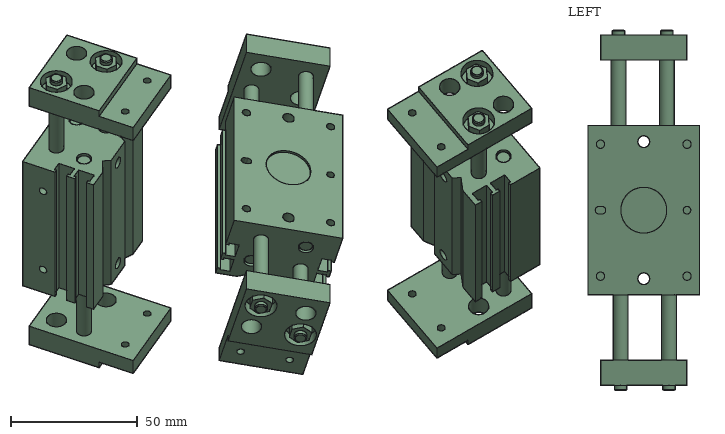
import cadquery as cq

total_length = 142.0

housing_depth = 31.1
housing_width = 44.0
housing_length = 66.7

slot_mouth_starts = (14.2, 22.9)
slot_mouth_width = 5.1
slot_lip_overhang = 0.9
slot_lip_thickness = 1.3
slot_depth = 5.3

groove_depth = 3.0
groove_inner_y = 6.1
groove_bottom_y = 8.0
groove_outer_y = 13.5

mount_hole_diameter = 4.5
mount_hole_z = 27.0
tapped_hole_diameter = 3.3
tapped_hole_y = 17.0
tapped_hole_z = 26.0
dowel_hole_diameter = 3.0
dowel_slot_length = 4.1
blind_hole_depth = 6.0
round_recess_diameter = 18.0
round_recess_depth = 1.0

port_diameter = 3.3
port_x = 9.0
port_z = 21.0

plate_back_x = 0.4
plate_front_x = 46.0
plate_width = 34.0
plate_thickness = 10.0
step_depth = 3.0
plate_hole_diameter = 3.0
plate_hole_x = 39.0
plate_hole_y = 10.0
clearance_diameter = 8.0
nut_bore_diameter = 12.5
nut_bore_depth = 5.0

rod_diameter = 6.0
rod_chamfer = 0.4
rod_end_gap = 0.9
stud_diameter = 5.0
stud_height = 2.0
stud_chamfer = 0.4
nut_across_corners = 9.2
rod_near_x = 8.5
rod_far_x = 21.0
rod_near_y = -9.1
rod_far_y = 10.0

half_width = housing_width / 2
half_length = housing_length / 2
plate_top_z = total_length / 2 - stud_height
plate_bottom_z = plate_top_z - plate_thickness
bore_floor_z = plate_top_z - nut_bore_depth
rod_end_z = rod_end_gap - half_length
upper_rod_places = [(rod_near_x, rod_near_y), (rod_far_x, rod_far_y)]
lower_rod_places = [(x, -y) for x, y in upper_rod_places]


def box(x_range, y_range, z_range):
    """Box between the given limits along each axis."""
    sizes = [high - low for low, high in (x_range, y_range, z_range)]
    corner = (x_range[0], y_range[0], z_range[0])
    return cq.Workplane("XY").box(*sizes, centered=False).translate(corner)


def cylinders_z(places, diameter, z_low, z_high):
    """Cylinders along Z at the given (x, y) places."""
    plane = cq.Workplane("XY").workplane(offset=z_low)
    return plane.pushPoints(places).circle(diameter / 2).extrude(z_high - z_low)


def cylinders_x(places, diameter, depth):
    """Cylinders along +X at the given (y, z) places, starting at the mounting face."""
    return cq.Workplane("YZ").pushPoints(places).circle(diameter / 2).extrude(depth)


def t_slot(mouth_start, side):
    """T-slot cutter in the side face at Y = side * half_width."""
    mouth_end = mouth_start + slot_mouth_width
    lip_y = half_width - slot_lip_thickness
    floor_y = half_width - slot_depth
    outline = [
        (mouth_start, half_width),
        (mouth_start, lip_y),
        (mouth_start - slot_lip_overhang, lip_y),
        (mouth_start - slot_lip_overhang, floor_y),
        (mouth_end + slot_lip_overhang, floor_y),
        (mouth_end + slot_lip_overhang, lip_y),
        (mouth_end, lip_y),
        (mouth_end, half_width),
    ]
    points = [(x, side * y) for x, y in outline]
    return cq.Workplane("XY").polyline(points).close().extrude(half_length, both=True)


def front_groove(side):
    """V-shaped groove cutter in the +X face, on the given Y side."""
    points = [
        (housing_depth, side * groove_inner_y),
        (housing_depth - groove_depth, side * groove_bottom_y),
        (housing_depth, side * groove_outer_y),
    ]
    return cq.Workplane("XY").polyline(points).close().extrude(half_length, both=True)


def mounting_face_holes():
    """Cutter for the holes and the shallow round recess in the mounting face."""
    mount_places = [(0, z) for z in (-mount_hole_z, mount_hole_z)]
    tapped_places = [
        (y, z) for y in (-tapped_hole_y, tapped_hole_y) for z in (-tapped_hole_z, tapped_hole_z)
    ]
    dowel_slot = (
        cq.Workplane("YZ")
        .center(tapped_hole_y, 0)
        .slot2D(dowel_slot_length, dowel_hole_diameter)
        .extrude(blind_hole_depth)
    )
    return (
        cylinders_x(mount_places, mount_hole_diameter, housing_depth)
        .add(cylinders_x(tapped_places, tapped_hole_diameter, blind_hole_depth))
        .add(cylinders_x([(-tapped_hole_y, 0)], dowel_hole_diameter, blind_hole_depth))
        .add(cylinders_x([(0, 0)], round_recess_diameter, round_recess_depth))
        .add(dowel_slot)
    )


def side_ports():
    """Cutter for the two blind ports in the -Y face."""
    plane = cq.Workplane("XZ", origin=(0, -half_width, 0))
    ports = plane.pushPoints([(port_x, -port_z), (port_x, port_z)]).circle(port_diameter / 2)
    return ports.extrude(-blind_hole_depth)


def make_housing():
    body = box((0, housing_depth), (-half_width, half_width), (-half_length, half_length))
    for side in (-1, 1):
        body = body.cut(front_groove(side))
        for mouth_start in slot_mouth_starts:
            body = body.cut(t_slot(mouth_start, side))
    rod_places = upper_rod_places + lower_rod_places
    body = body.cut(cylinders_z(rod_places, rod_diameter, -half_length, half_length))
    for cutter in mounting_face_holes().vals():
        body = body.cut(cq.Workplane(cutter))
    return body.cut(side_ports())


def end_plate():
    """Stepped plate with nut bores, clearance holes for the other rods, and two fixing holes."""
    half_plate = plate_width / 2
    y_range = (-half_plate, half_plate)
    plate = box((plate_back_x, plate_front_x), y_range, (plate_bottom_z, plate_top_z))
    plate = plate.cut(
        box((housing_depth, plate_front_x), y_range, (plate_top_z - step_depth, plate_top_z))
    )
    fixing_places = [(plate_hole_x, -plate_hole_y), (plate_hole_x, plate_hole_y)]
    plate = plate.cut(cylinders_z(fixing_places, plate_hole_diameter, plate_bottom_z, plate_top_z))
    plate = plate.cut(cylinders_z(lower_rod_places, clearance_diameter, plate_bottom_z, plate_top_z))
    return plate.cut(cylinders_z(upper_rod_places, nut_bore_diameter, bore_floor_z, plate_top_z))


def rods():
    """Two guide rods with a chamfered free end, reaching up to the floor of the nut bores."""
    rod = cylinders_z(upper_rod_places, rod_diameter, rod_end_z, bore_floor_z)
    return rod.faces("<Z").chamfer(rod_chamfer)


def studs():
    """Two chamfered studs that rise from the nut bores past the plate."""
    stud = cylinders_z(upper_rod_places, stud_diameter, bore_floor_z, total_length / 2)
    return stud.faces(">Z").chamfer(stud_chamfer)


def nuts():
    """Two hexagonal nuts, flush with the top of the plate."""
    plane = cq.Workplane("XY").workplane(offset=bore_floor_z)
    return plane.pushPoints(upper_rod_places).polygon(6, nut_across_corners).extrude(nut_bore_depth)


def make_carriage():
    """End plate with its two rods, studs and nuts as one solid, at the +Z end."""
    return end_plate().union(rods()).union(studs()).union(nuts())


housing = make_housing()
upper_carriage = make_carriage()
lower_carriage = make_carriage().rotate((0, 0, 0), (1, 0, 0), 180)

bodies = [housing, upper_carriage, lower_carriage]
result = cq.Compound.makeCompound([body.solids().val() for body in bodies])